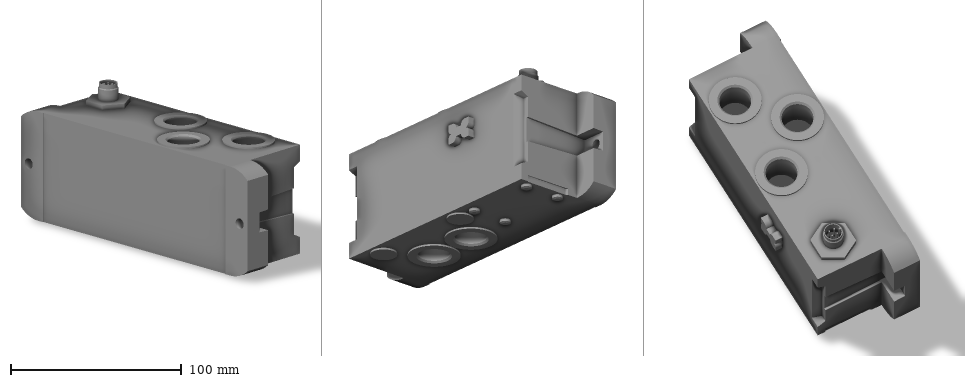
import cadquery as cq
import math


overall_length = 185.0
height = 66.8
mid_height = height / 2
body_front = 0.5
body_back = 60.1
half_length_front = 77.7
half_length_back = 77.1
lug_depth = 17.4
lug_inner = 74.4
lug_corner_radius = 20.0
lug_corner_drop = 5.7
lug_hole_diameter = 6.5
lug_hole_x = 86.0

groove_depth = 1.8
groove_front = 10.0
groove_front_half_width = 6.1
groove_back_half_width = 7.8
pocket_front = 55.0
pocket_angle = 30.0
pocket_front_depth = 4.6
pocket_front_half_width = 20.7
pocket_back_half_width = 23.3

port_axis_x = 23.3
port_rim_diameter = 31.0
port_rim_height = 1.1
port_mouth_diameter = 20.9
port_bore_diameter = 18.7
port_depth = 18.5
top_port_spacing = 27.8
top_back_row_y = 43.7
top_front_row_y = 17.4
bottom_port_spacing = 16.5
bottom_port_y = 26.5
small_pad_diameter = 16.0
small_pad_spacing = 34.2
small_pad_y = 50.1

connector_x = -60.1
connector_y = 40.1
hex_across_flats = 23.3
hex_height = 3.0
shell_diameter = 12.0
shell_height = 10.5
shell_tip_diameter = 11.0
connector_height = 13.1
tip_bevel = (shell_diameter - shell_tip_diameter) / 2
socket_diameter = 10.0
socket_depth = 9.0
pin_diameter = 1.0
pin_height = 8.5
pin_offset = 1.7
key_width = 1.3
key_protrusion = 1.1

screw_diameter = 6.5
screw_height = 2.2
screw_bevel_height = 0.5
screw_bevel_width = 1.5
screw_xs = (-71.8, -25.2)
screw_ys = (27.5, 51.5)
cover_height = 3.9
cover_front = 23.9
cover_back = 55.9
cover_recess = 1.1
cover_bevel = 1.5

knob_x = -26.5
knob_z = 46.2
knob_depth = 4.8
knob_half_length = 8.9
knob_half_height = 6.1
knob_slot_half_width = 2.2
knob_slot_radius = 3.3
knob_side_radius = 2.8


def both_ends(left_solid):
    """Return a left-end solid together with its mirror image at the right end."""
    return left_solid.union(left_solid.mirror("YZ"))


def cylinder(diameter, x, y, z, length):
    """Vertical cylinder rising from z, or hanging below z when length is negative."""
    return cq.Workplane("XY", origin=(x, y, z)).circle(diameter / 2).extrude(length)


def make_body():
    return (
        cq.Workplane("XY")
        .polyline([
            (-half_length_front, body_front),
            (half_length_front, body_front),
            (half_length_back, body_back),
            (-half_length_back, body_back),
        ])
        .close()
        .extrude(height)
    )


def make_lug():
    """Left mounting lug with large-radius corners that run out into the flat end."""
    end = -overall_length / 2
    radius = lug_corner_radius
    run = math.sqrt(radius**2 - (radius - lug_corner_drop) ** 2)
    half_angle = math.acos((radius - lug_corner_drop) / radius) / 2
    mid_x = end + run - radius * math.sin(half_angle)
    mid_drop = radius * (1 - math.cos(half_angle))
    return (
        cq.Workplane("XZ")
        .moveTo(-lug_inner, 0)
        .lineTo(end + run, 0)
        .threePointArc((mid_x, mid_drop), (end, lug_corner_drop))
        .lineTo(end, height - lug_corner_drop)
        .threePointArc((mid_x, height - mid_drop), (end + run, height))
        .lineTo(-lug_inner, height)
        .close()
        .extrude(-lug_depth)
    )


def make_lug_hole():
    return (
        cq.Workplane("XZ", origin=(-lug_hole_x, 0, mid_height))
        .circle(lug_hole_diameter / 2)
        .extrude(-lug_depth)
    )


def extrude_to_end(points, x_inner):
    """Extrude a Y-Z outline from x_inner out past the left end."""
    length = overall_length / 2 + x_inner
    return cq.Workplane("YZ", origin=(x_inner, 0, 0)).polyline(points).close().extrude(-length)


def make_end_groove():
    """Tapered groove along the left end that also relieves the back of the lug."""
    return extrude_to_end(
        [
            (groove_front, mid_height - groove_front_half_width),
            (pocket_front, mid_height - groove_back_half_width),
            (pocket_front, mid_height + groove_back_half_width),
            (groove_front, mid_height + groove_front_half_width),
        ],
        groove_depth - half_length_front,
    )


def make_end_pocket():
    """Flared pocket at the back corner of the left end, deepening towards the back."""
    floor_front = pocket_front_depth - half_length_front
    floor_back = floor_front + (body_back - pocket_front) * math.tan(math.radians(pocket_angle))
    flare = extrude_to_end(
        [
            (pocket_front, mid_height - pocket_front_half_width),
            (body_back, mid_height - pocket_back_half_width),
            (body_back, mid_height + pocket_back_half_width),
            (pocket_front, mid_height + pocket_front_half_width),
        ],
        floor_back,
    )
    sloped_floor = (
        cq.Workplane("XY")
        .polyline([
            (-overall_length / 2, pocket_front),
            (floor_front, pocket_front),
            (floor_back, body_back),
            (-overall_length / 2, body_back),
        ])
        .close()
        .extrude(height)
    )
    return flare.intersect(sloped_floor)


def make_port_bore(x, y, face_z, direction):
    """Blind port bore with a bevelled mouth; direction points out of the body."""
    mouth_z = face_z + direction * port_rim_height
    depth = port_rim_height + port_depth
    bevel = (port_mouth_diameter - port_bore_diameter) / 2
    return (
        cq.Workplane("XZ", origin=(x, y, 0))
        .polyline([
            (0, mouth_z),
            (port_mouth_diameter / 2, mouth_z),
            (port_bore_diameter / 2, mouth_z - direction * bevel),
            (port_bore_diameter / 2, mouth_z - direction * depth),
            (0, mouth_z - direction * depth),
        ])
        .close()
        .revolve(360, (0, 0, 0), (0, 1, 0))
    )


def make_connector():
    """Round male connector on a hexagonal base."""
    base = (
        cq.Workplane("XY", origin=(connector_x, connector_y, height))
        .polygon(6, hex_across_flats / math.cos(math.pi / 6))
        .extrude(hex_height)
    )
    shell = cylinder(shell_diameter, connector_x, connector_y, height, shell_height)
    shell = shell.faces(">Z").chamfer(tip_bevel)
    tip = cylinder(shell_tip_diameter, connector_x, connector_y, height, connector_height)
    floor_z = height + connector_height - socket_depth
    socket = cylinder(socket_diameter, connector_x, connector_y, floor_z, socket_depth)
    key = (
        cq.Workplane("XY", origin=(connector_x, connector_y - socket_diameter / 2, floor_z))
        .rect(key_width, 2 * key_protrusion)
        .extrude(socket_depth)
    )
    connector = base.union(shell).union(tip).cut(socket.cut(key))
    for side_x in (-1, 1):
        for side_y in (-1, 1):
            pin_x = connector_x + side_x * pin_offset
            pin_y = connector_y + side_y * pin_offset
            connector = connector.union(cylinder(pin_diameter, pin_x, pin_y, floor_z, pin_height))
    return connector


def make_cover_recess():
    """Shallow recess with bevelled sides where the cover meets the left end."""
    end = -half_length_front
    return (
        cq.Workplane("XY")
        .polyline([
            (end, cover_front),
            (end + cover_recess, cover_front + cover_bevel),
            (end + cover_recess, cover_back - cover_bevel),
            (end, cover_back),
        ])
        .close()
        .extrude(cover_height)
    )


def make_screw(x, y):
    """Screw head under the body, tapering to a smaller flat end."""
    straight_height = screw_height - screw_bevel_height
    end_radius = screw_diameter / 2 - screw_bevel_width
    return (
        cq.Workplane("XZ", origin=(x, y, 0))
        .polyline([
            (0, 0),
            (screw_diameter / 2, 0),
            (screw_diameter / 2, -straight_height),
            (end_radius, -screw_height),
            (0, -screw_height),
        ])
        .close()
        .revolve(360, (0, 0, 0), (0, 1, 0))
    )


def make_knob():
    """Knob with slots above and below the middle and a rounded nick at each side."""
    slot_floor = knob_half_height - knob_slot_radius
    slot_edge = knob_slot_half_width + knob_slot_radius
    nick_x = knob_half_length - knob_side_radius
    diagonal = math.sqrt(0.5)
    slot_arc_mid = (slot_edge - knob_slot_radius * diagonal, slot_floor + knob_slot_radius * diagonal)
    side_arc_mid = (nick_x + knob_side_radius * diagonal, knob_side_radius * (1 - diagonal))
    quarter = (
        cq.Workplane("XZ", origin=(knob_x, body_back, knob_z))
        .lineTo(0, slot_floor)
        .lineTo(knob_slot_half_width, slot_floor)
        .threePointArc(slot_arc_mid, (slot_edge, knob_half_height))
        .lineTo(knob_half_length, knob_half_height)
        .lineTo(knob_half_length, knob_side_radius)
        .threePointArc(side_arc_mid, (nick_x, 0))
        .close()
        .extrude(-knob_depth)
    )
    upper = quarter.union(quarter.mirror("YZ", (knob_x, 0, 0)))
    return upper.union(upper.mirror("XY", (0, 0, knob_z)))


result = make_body().union(both_ends(make_lug()))
for left_cut in (make_lug_hole(), make_end_groove(), make_end_pocket()):
    result = result.cut(both_ends(left_cut))
result = result.cut(make_cover_recess())

top_ports = [
    (port_axis_x - top_port_spacing, top_back_row_y),
    (port_axis_x + top_port_spacing, top_back_row_y),
    (port_axis_x, top_front_row_y),
]
bottom_ports = [(port_axis_x + side * bottom_port_spacing, bottom_port_y) for side in (-1, 1)]
for ports, face_z, direction in ((top_ports, height, 1), (bottom_ports, 0, -1)):
    for x, y in ports:
        result = result.union(cylinder(port_rim_diameter, x, y, face_z, direction * port_rim_height))
        result = result.cut(make_port_bore(x, y, face_z, direction))
for side in (-1, 1):
    pad_x = port_axis_x + side * small_pad_spacing
    result = result.union(cylinder(small_pad_diameter, pad_x, small_pad_y, 0, -port_rim_height))

for x in screw_xs:
    for y in screw_ys:
        result = result.union(make_screw(x, y))
result = result.union(make_connector()).union(make_knob())